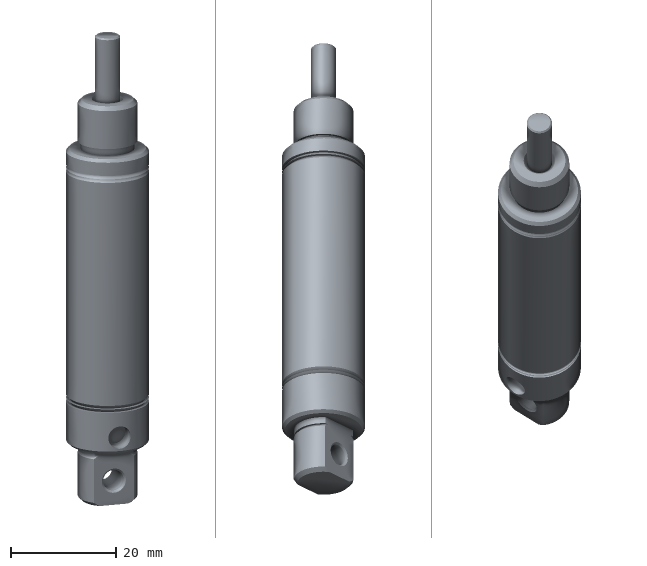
import cadquery as cq

total_height = 91.95
tang_height = 11.2
body_top = 69.6
nose_top = 79.35

body_radius = 15.7 / 2
body_chamfer = 0.55

notch_depth = 0.6
notch_width = 0.69
lower_groove_height = 20.1
upper_groove_height = 65.7

thread_radius = 11.3 / 2
nose_neck_radius = 5.15
tang_neck_radius = 5.6
thread_chamfer = 0.7
nose_neck_height = 1.5
tang_neck_height = 1.3
tang_undercut_radius = 5.15
tang_undercut_height = 0.55

tang_thickness = 8.1
pivot_radius = 2.0
pivot_chamfer = 0.4
pivot_height = 4.8

port_radius = 2.2
port_height = 14.4
port_depth = 3.7

rod_radius = 2.4
rod_chamfer = 0.3
rod_bottom = body_top
countersink_radius = 6.0 / 2
countersink_depth = countersink_radius - rod_radius


def cylinder(radius, bottom, top):
    """Vertical cylinder on the Z axis between two heights."""
    return cq.Workplane("XY").workplane(offset=bottom).circle(radius).extrude(top - bottom)


def revolve_profile(points):
    """Revolve a closed (radius, height) outline about the Z axis."""
    return cq.Workplane("XZ").polyline(points).close().revolve(360, (0, 0), (0, 1))


def make_groove(middle, cap_direction):
    """Two sawtooth notches meeting at a sharp ridge at the middle height.

    Each notch has its flat wall toward the end cap: above it for a
    cap_direction of 1, below it for -1.
    """
    step = cap_direction * notch_width
    return revolve_profile([
        (body_radius, middle - step),
        (body_radius - notch_depth, middle),
        (body_radius, middle),
        (body_radius - notch_depth, middle + step),
        (body_radius + notch_depth, middle + step),
        (body_radius + notch_depth, middle - step),
    ])


def make_barrel():
    """Main cylinder with chamfered ends and a double notch beside each end cap."""
    barrel = cylinder(body_radius, tang_height, body_top).edges("%CIRCLE").chamfer(body_chamfer)
    lower_groove = make_groove(lower_groove_height, -1)
    upper_groove = make_groove(upper_groove_height, 1)
    return barrel.cut(lower_groove).cut(upper_groove)


def make_nose():
    """Threaded nose above an undercut neck."""
    nose_bottom = body_top + nose_neck_height
    neck = cylinder(nose_neck_radius, body_top, nose_bottom)
    thread = cylinder(thread_radius, nose_bottom, nose_top).faces(">Z").chamfer(thread_chamfer)
    return neck.union(thread)


def make_tang():
    """Round tang with an undercut below its neck, two flats facing X and a pivot hole along X."""
    neck_bottom = tang_height - tang_neck_height
    round_tang = revolve_profile([
        (0, 0),
        (thread_radius - thread_chamfer, 0),
        (thread_radius, thread_chamfer),
        (thread_radius, neck_bottom - tang_undercut_height),
        (tang_undercut_radius, neck_bottom),
        (tang_neck_radius, neck_bottom),
        (tang_neck_radius, tang_height),
        (0, tang_height),
    ])
    flats = cq.Workplane("XY").box(
        tang_thickness, 2 * thread_radius, tang_height, centered=(True, True, False)
    )
    pivot_hole = (
        cq.Workplane("YZ").center(0, pivot_height).circle(pivot_radius)
        .extrude(tang_thickness / 2, both=True)
    )
    hole_rims = cq.selectors.RadiusNthSelector(0)
    drilled_tang = round_tang.intersect(flats).cut(pivot_hole)
    return drilled_tang.edges("%CIRCLE").edges(hole_rims).chamfer(pivot_chamfer)


def make_port():
    """Radial blind hole entering from the +X side."""
    return (
        cq.Workplane("YZ").workplane(offset=body_radius - port_depth)
        .center(0, port_height).circle(port_radius).extrude(port_depth)
    )


def make_rod_bore():
    """Blind bore for the rod, countersunk at the nose face."""
    return revolve_profile([
        (0, rod_bottom),
        (rod_radius, rod_bottom),
        (rod_radius, nose_top - countersink_depth),
        (countersink_radius, nose_top),
        (0, nose_top),
    ])


def make_housing():
    """Barrel, nose and tang in one piece, with the port and the rod bore."""
    housing = make_barrel().union(make_nose()).union(make_tang())
    return housing.cut(make_port()).cut(make_rod_bore())


def make_rod():
    """Piston rod seated in the bore, with a chamfered tip."""
    return cylinder(rod_radius, rod_bottom, total_height).faces(">Z").chamfer(rod_chamfer)


housing = make_housing()
rod = make_rod()

result = cq.Compound.makeCompound([housing.val(), rod.val()])